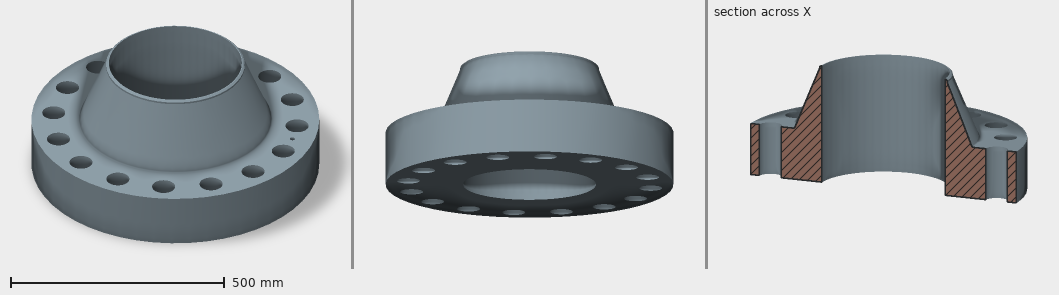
import cadquery as cq
import math

flange_diameter = 673.0
flange_thickness = 124.5
overall_height = 282.5

bore_diameter = 311.0
weld_end_diameter = 324.5
weld_end_length = 8.0
weld_land = 2.0
weld_bevel_angle = 37.5
hub_base_diameter = 450.0
hub_fillet_radius = 4.0

bolt_count = 16
bolt_circle_diameter = 571.0
bolt_hole_diameter = 54.0

step_hole_diameter = 12.0
step_hole_depth = 20.0
pilot_hole_diameter = 9.0
pilot_hole_depth = 27.0

bolt_circle_radius = bolt_circle_diameter / 2
bolt_pitch_angle = 360 / bolt_count


def make_flange():
    return cq.Workplane("XY").circle(flange_diameter / 2).extrude(flange_thickness)


def make_hub():
    """Cone with a short straight end whose rim is bevelled down to a flat land."""
    base_radius = hub_base_diameter / 2
    end_radius = weld_end_diameter / 2
    land_radius = bore_diameter / 2 + weld_land
    bevel_height = (end_radius - land_radius) * math.tan(math.radians(weld_bevel_angle))
    return (
        cq.Workplane("XZ")
        .moveTo(0, 0)
        .lineTo(base_radius, 0)
        .lineTo(base_radius, flange_thickness)
        .lineTo(end_radius, overall_height - weld_end_length)
        .lineTo(end_radius, overall_height - bevel_height)
        .lineTo(land_radius, overall_height)
        .lineTo(0, overall_height)
        .close()
        .revolve(360, (0, 0, 0), (0, 1, 0))
    )


def fillet_hub_base(body):
    """Round the corner where the cone meets the top of the flange."""
    margin = 1.0
    reach = hub_base_diameter / 2 + margin
    corner = cq.selectors.BoxSelector(
        (-reach, -reach, flange_thickness - margin),
        (reach, reach, flange_thickness + margin),
        boundingbox=True,
    )
    return body.edges(corner).fillet(hub_fillet_radius)


def make_bore():
    return cq.Workplane("XY").circle(bore_diameter / 2).extrude(overall_height)


def make_bolt_holes():
    return (
        cq.Workplane("XY")
        .polarArray(bolt_circle_radius, 0, 360, bolt_count)
        .circle(bolt_hole_diameter / 2)
        .extrude(flange_thickness)
    )


def make_stepped_hole():
    """Blind hole with a narrower pilot at its bottom, halfway between two bolt holes."""
    angle = math.radians(bolt_pitch_angle / 2)
    x = bolt_circle_radius * math.cos(angle)
    y = bolt_circle_radius * math.sin(angle)
    top = cq.Workplane("XY", origin=(x, y, flange_thickness))
    wide = top.circle(step_hole_diameter / 2).extrude(-step_hole_depth)
    pilot = top.circle(pilot_hole_diameter / 2).extrude(-pilot_hole_depth)
    return wide.union(pilot)


body = fillet_hub_base(make_flange().union(make_hub()))
result = body.cut(make_bore()).cut(make_bolt_holes()).cut(make_stepped_hole())